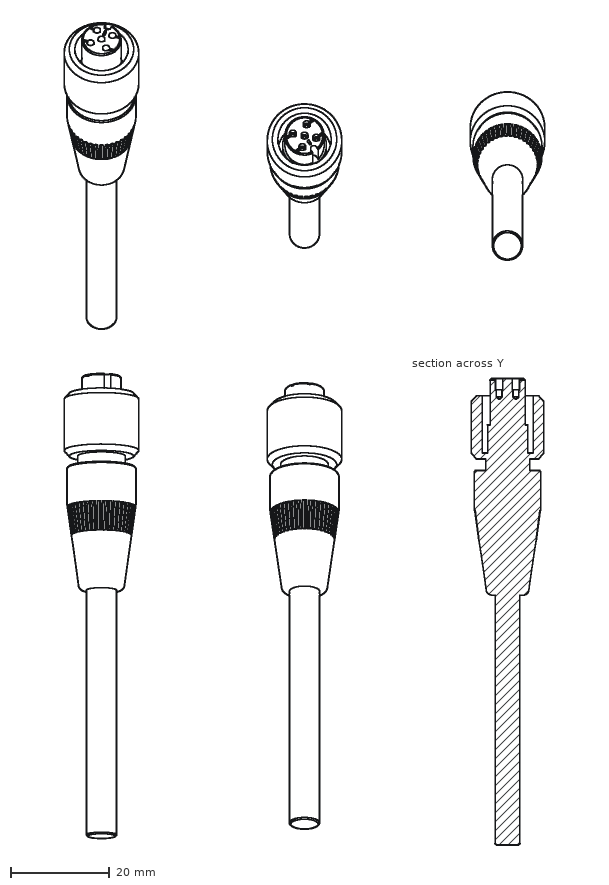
import cadquery as cq

total_length = 95.1

cable_diameter = 6.2
cable_end_chamfer = 0.3

grip_diameter = 14.1
grip_top_chamfer = 0.3
grip_bottom_z = 50.9
grip_top_z = 76.4
taper_top_z = 68.7
taper_end_diameter = 9.1
taper_end_rounding = 1.1

groove_count = 40
groove_top_z = 68.2
groove_bottom_z = 62.3
groove_width = 0.8
groove_depth = 0.2

neck_diameter = 9.7

collar_diameter = 15.2
collar_bottom_z = 78.7
collar_top_z = 91.6
collar_chamfer_height = 1.1
collar_chamfer_width = 1.0
bore_diameter = 10.8
bore_floor_z = 79.9

carrier_diameter = 8.0
carrier_chamfer = 0.3
carrier_base_diameter = 8.9
carrier_base_top_z = 85.6

socket_offset = 1.7
socket_mouth_diameter = 1.4
socket_mouth_depth = 2.4
socket_diameter = 1.1
socket_depth = 3.8
socket_point_height = 0.5

key_width = 1.3
key_inner_y = 2.7
key_depth = total_length - carrier_base_top_z

mark_width = 0.4
mark_length = 0.95
mark_depth = 0.2
side_slot_width = 0.4
side_slot_depth = 0.4


def cylinder(diameter, bottom_z, top_z):
    return cq.Workplane("XY").workplane(offset=bottom_z).circle(diameter / 2).extrude(top_z - bottom_z)


def make_cable():
    cable = cylinder(cable_diameter, 0, grip_bottom_z)
    return cable.faces("<Z").chamfer(cable_end_chamfer)


def make_grip():
    profile = (
        cq.Workplane("XZ")
        .moveTo(0, grip_bottom_z)
        .lineTo(taper_end_diameter / 2, grip_bottom_z)
        .lineTo(grip_diameter / 2, taper_top_z)
        .lineTo(grip_diameter / 2, grip_top_z)
        .lineTo(0, grip_top_z)
        .close()
    )
    grip = profile.revolve(360, (0, 0, 0), (0, 1, 0))
    grip = grip.faces("<Z").edges().fillet(taper_end_rounding)
    return grip.faces(">Z").edges().chamfer(grip_top_chamfer)


def taper_radius(z):
    fraction = (z - grip_bottom_z) / (taper_top_z - grip_bottom_z)
    return (taper_end_diameter + fraction * (grip_diameter - taper_end_diameter)) / 2


def groove_section(z):
    """Triangle at height z, with its tip below the taper surface and its wide side outside."""
    radius = taper_radius(z)
    points = [
        cq.Vector(radius - groove_depth, 0, z),
        cq.Vector(radius + groove_depth, groove_width, z),
        cq.Vector(radius + groove_depth, -groove_width, z),
    ]
    return cq.Wire.makePolygon(points, close=True)


def make_grooves():
    """V-grooves that follow the taper, evenly spaced around Z."""
    sections = [groove_section(groove_bottom_z), groove_section(groove_top_z)]
    cutter = cq.Solid.makeLoft(sections, True)
    pitch_angle = 360 / groove_count
    cutters = []
    for index in range(groove_count):
        angle = (index + 0.5) * pitch_angle
        cutters.append(cutter.rotate(cq.Vector(0, 0, 0), cq.Vector(0, 0, 1), angle))
    return cq.Workplane(cq.Compound.makeCompound(cutters))


def make_collar():
    inset = collar_diameter / 2 - collar_chamfer_width
    profile = (
        cq.Workplane("XZ")
        .moveTo(0, collar_bottom_z)
        .lineTo(inset, collar_bottom_z)
        .lineTo(collar_diameter / 2, collar_bottom_z + collar_chamfer_height)
        .lineTo(collar_diameter / 2, collar_top_z - collar_chamfer_height)
        .lineTo(inset, collar_top_z)
        .lineTo(0, collar_top_z)
        .close()
    )
    collar = profile.revolve(360, (0, 0, 0), (0, 1, 0))
    return collar.cut(cylinder(bore_diameter, bore_floor_z, collar_top_z))


def make_socket(x, y):
    """Counterbored contact hole with a conical bottom."""
    mouth_radius = socket_mouth_diameter / 2
    radius = socket_diameter / 2
    profile = (
        cq.Workplane("XZ")
        .moveTo(0, total_length)
        .lineTo(mouth_radius, total_length)
        .lineTo(mouth_radius, total_length - socket_mouth_depth)
        .lineTo(radius, total_length - socket_mouth_depth)
        .lineTo(radius, total_length - socket_depth)
        .lineTo(0, total_length - socket_depth - socket_point_height)
        .close()
    )
    return profile.revolve(360, (0, 0, 0), (0, 1, 0)).translate((x, y, 0))


def top_pocket(x, y, length_x, length_y, depth):
    pocket = cq.Workplane("XY").box(length_x, length_y, depth)
    return pocket.translate((x, y, total_length - depth / 2))


def make_carrier():
    carrier = cylinder(carrier_diameter, bore_floor_z, total_length)
    carrier = carrier.faces(">Z").chamfer(carrier_chamfer)
    carrier = carrier.union(cylinder(carrier_base_diameter, bore_floor_z, carrier_base_top_z))

    key_center_y = key_inner_y + key_width / 2
    key = (
        cylinder(key_width, total_length - key_depth, total_length)
        .translate((0, key_center_y, 0))
        .union(top_pocket(0, key_center_y + key_width, key_width, 2 * key_width, key_depth))
    )
    carrier = carrier.cut(key)

    carrier = carrier.cut(top_pocket(0, socket_offset, mark_width, mark_length, mark_depth))

    carrier = carrier.cut(make_socket(0, 0))
    slot_length = carrier_diameter / 2 - socket_offset
    for side_x in (-1, 1):
        for side_y in (-1, 1):
            x = side_x * socket_offset
            y = side_y * socket_offset
            carrier = carrier.cut(make_socket(x, y))
            slot_x = x + side_x * slot_length / 2
            carrier = carrier.cut(top_pocket(slot_x, y, slot_length, side_slot_width, side_slot_depth))
    return carrier


result = (
    make_cable()
    .union(make_grip().cut(make_grooves()))
    .union(cylinder(neck_diameter, grip_top_z, collar_bottom_z))
    .union(make_collar())
    .union(make_carrier())
)